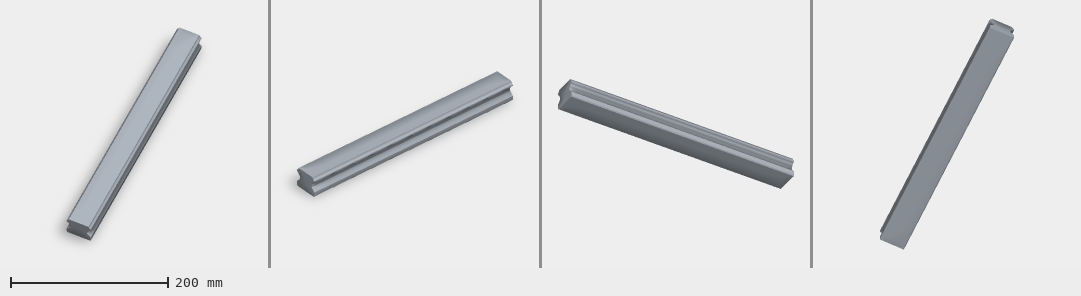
import cadquery as cq

length = 330.0
width = 34.0
height = 29.0

half_width = width / 2
half_top = 14.0
half_waist = 11.5
half_neck = 13.5

base_chamfer = 1.3
base_side_top = 7.3
waist_bottom = base_side_top + half_width - half_waist
waist_top = 17.0
neck_height = waist_top + half_neck - half_waist

lip_chamfer = 1.0
lip_bottom = 22.0
lip_top = 25.7
half_lip = half_width - lip_chamfer
shoulder_sag = 0.45
neck_sag = 0.5

cap_diameter = 14.0
cap_depth = 2.0
cap_count = 4
cap_pitch = 80.0


def make_rail():
    """Extrude the waisted cross-section, centred on the origin along Y."""
    half_section = (
        cq.Workplane("XZ", origin=(0, length / 2, 0))
        .lineTo(half_width - base_chamfer, 0)
        .lineTo(half_width, base_chamfer)
        .lineTo(half_width, base_side_top)
        .lineTo(half_waist, waist_bottom)
        .lineTo(half_waist, waist_top)
        .lineTo(half_neck, neck_height)
        .sagittaArc((half_lip, lip_bottom), neck_sag)
        .lineTo(half_width, lip_bottom + lip_chamfer)
        .lineTo(half_width, lip_top - lip_chamfer)
        .lineTo(half_lip, lip_top)
        .sagittaArc((half_top, height), shoulder_sag)
        .lineTo(0, height)
        .close()
        .extrude(length)
    )
    return half_section.union(half_section.mirror("YZ"))


def make_caps():
    """Row of round caps sunk into the rail until level with its top face."""
    return (
        cq.Workplane("XY", origin=(0, 0, height))
        .rarray(3.3, cap_pitch, 1, cap_count)
        .circle(cap_diameter / 2)
        .extrude(-cap_depth)
    )


rail = make_rail()
caps = make_caps()

result = rail.cut(caps).union(caps, clean=False)